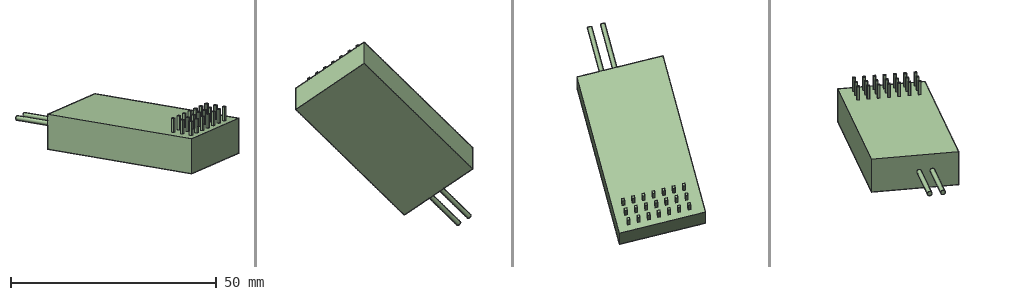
import cadquery as cq

overall_length = 54.15
body_length = 41.3
body_width = 21.65
body_height = 8.9

lead_length = overall_length - body_length
lead_diameter = 1.2
lead_pitch = 3.3
lead_pair_offset = -2.65

pin_size = 0.65
pin_height = 3.5
pin_pitch = 2.55
pin_columns = 3
pin_rows = 7
last_column_inset = 1.9
pin_grid_offset = -0.45


def make_body():
    """Block centred in X and Y, standing on Z = 0."""
    return cq.Workplane("XY").box(body_length, body_width, body_height, centered=(True, True, False))


def make_leads():
    """Two parallel round leads at mid height, running in -X."""
    half_pitch = lead_pitch / 2
    return (
        cq.Workplane("YZ", origin=(-body_length / 2, lead_pair_offset, body_height / 2))
        .pushPoints([(-half_pitch, 0), (half_pitch, 0)])
        .circle(lead_diameter / 2)
        .extrude(-lead_length)
    )


def make_pins():
    """Rectangular grid of square pins."""
    grid_center_x = body_length / 2 - last_column_inset - pin_pitch * (pin_columns - 1) / 2
    return (
        cq.Workplane("XY", origin=(grid_center_x, pin_grid_offset, body_height))
        .rarray(pin_pitch, pin_pitch, pin_columns, pin_rows)
        .rect(pin_size, pin_size)
        .extrude(pin_height)
    )


result = make_body().union(make_leads()).union(make_pins())